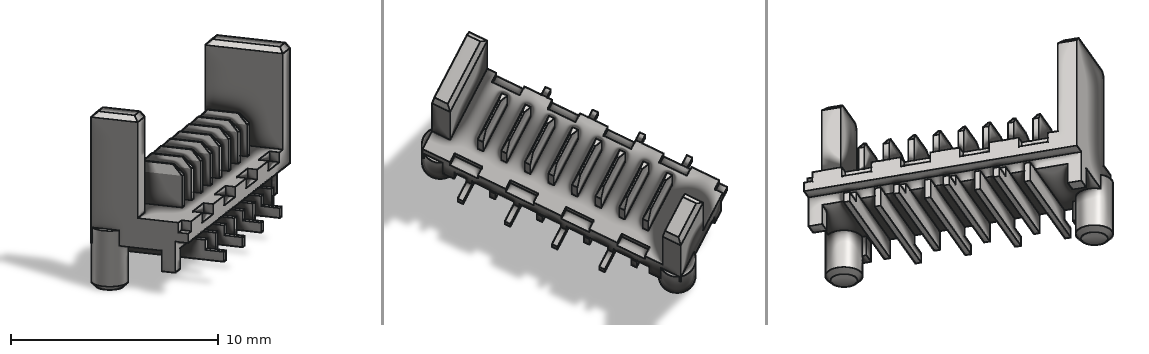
import cadquery as cq


base_width = 5.0
base_length = 13.9
base_bottom = 1.05
base_thickness = 1.5
base_top = base_bottom + base_thickness
half_width = base_width / 2
half_length = base_length / 2

undercut_x = 1.83
undercut_top = 1.58

notch_depth = 0.5
notch_length = 1.5
notch_pitch = 3.0
first_notch_y = 4.73
paired_notch_count = 4

wall_thickness = 0.975
wall_top = 7.63
wall_chamfer = 0.25
front_wall_width = 2.4
back_wall_width = 4.0

peg_diameter = 1.8
peg_x = -1.75
peg_y = 6.375
peg_bottom = -1.22
peg_top = 1.83
peg_chamfer = 0.25

standoff_size = 0.7
inner_standoff_y = 5.25

pin_count = 8
pin_pitch = 1.27
pin_thickness = 0.3
blade_half_width = 1.3
blade_top = 4.65
tip_height = 0.5
tip_run = 0.5
tip_thickness = 0.1
lead_reach = 3.45
lead_height = 0.5
lead_bottom = 0.05
foot_lead_side = 2.5
foot_plain_side = 2.55


def box(x_range, y_range, z_range):
    """Axis-aligned block between the given limits."""
    size = [limits[1] - limits[0] for limits in (x_range, y_range, z_range)]
    corner = (x_range[0], y_range[0], z_range[0])
    return cq.Workplane("XY").box(*size, centered=False).translate(corner)


def make_base():
    base = box((-half_width, half_width), (-half_length, half_length), (base_bottom, base_top))
    undercut = box((undercut_x, half_width), (-half_length, half_length), (base_bottom, undercut_top))
    return base.cut(undercut)


def make_notch(side, y_center):
    """Edge notch cutter; side is -1 for the -X edge and +1 for the +X edge."""
    notch = cq.Workplane("XY").box(2 * notch_depth, notch_length, 2 * notch_depth)
    return notch.translate((side * half_width, y_center, base_top))


def cut_notches(body):
    for index in range(paired_notch_count):
        y_center = first_notch_y - index * notch_pitch
        for side in (-1, 1):
            body = body.cut(make_notch(side, y_center))
    return body.cut(make_notch(1, first_notch_y - paired_notch_count * notch_pitch))


def make_wall(x_range, y_range):
    """Upright end wall, chamfered on top along every edge except the +Y one."""
    wall = box(x_range, y_range, (base_top, wall_top))
    return wall.faces(">Z").edges("<X or >X or <Y").chamfer(wall_chamfer)


def make_peg(y_center):
    peg = cq.Workplane("XY").circle(peg_diameter / 2).extrude(peg_top - peg_bottom)
    peg = peg.faces("<Z").chamfer(peg_chamfer)
    return peg.translate((peg_x, y_center, peg_bottom))


def make_standoffs(end):
    """Two standoffs at one end; end is -1 for -Y and +1 for +Y."""
    height = (0, base_bottom)
    inner_y = sorted((end * inner_standoff_y, end * (inner_standoff_y + standoff_size)))
    outer_y = sorted((end * (half_length - standoff_size), end * half_length))
    inner = box((-half_width, -half_width + standoff_size), inner_y, height)
    outer = box((undercut_x - standoff_size, undercut_x), outer_y, height)
    return inner.union(outer)


def make_blade():
    """Upper contact blade with a tip tapered from both ends and both faces."""
    shoulder = blade_top - tip_height
    side_outline = (
        cq.Workplane("XZ")
        .moveTo(-blade_half_width, base_bottom)
        .lineTo(-blade_half_width, shoulder)
        .lineTo(-blade_half_width + tip_run, blade_top)
        .lineTo(blade_half_width - tip_run, blade_top)
        .lineTo(blade_half_width, shoulder)
        .lineTo(blade_half_width, base_bottom)
        .close()
        .extrude(pin_thickness / 2, both=True)
    )
    end_outline = (
        cq.Workplane("YZ")
        .moveTo(-pin_thickness / 2, base_bottom)
        .lineTo(-pin_thickness / 2, shoulder)
        .lineTo(-tip_thickness / 2, blade_top)
        .lineTo(tip_thickness / 2, blade_top)
        .lineTo(pin_thickness / 2, shoulder)
        .lineTo(pin_thickness / 2, base_bottom)
        .close()
        .extrude(blade_half_width, both=True)
    )
    return side_outline.intersect(end_outline)


def make_pin(lead_side):
    """Contact pin centred on Y = 0; lead_side is -1 or +1 along X."""
    y_range = (-pin_thickness / 2, pin_thickness / 2)
    foot_x = sorted((lead_side * foot_lead_side, -lead_side * foot_plain_side))
    lead_x = sorted((0, lead_side * lead_reach))
    foot = box(foot_x, y_range, (lead_bottom, base_bottom))
    lead = box(lead_x, y_range, (lead_bottom, lead_bottom + lead_height))
    return make_blade().union(foot).union(lead)


def add_pins(body):
    """Row of pins whose leads alternate sides, starting toward -X at the +Y end."""
    first_pin_y = pin_pitch * (pin_count - 1) / 2
    for index in range(pin_count):
        lead_side = -1 if index % 2 == 0 else 1
        pin = make_pin(lead_side).translate((0, first_pin_y - index * pin_pitch, 0))
        body = body.union(pin)
    return body


front_wall = make_wall(
    (-half_width, -half_width + front_wall_width), (-half_length, -half_length + wall_thickness)
)
back_wall = make_wall(
    (half_width - back_wall_width, half_width), (half_length - wall_thickness, half_length)
)

result = cut_notches(make_base()).union(back_wall).union(front_wall)
for end in (-1, 1):
    result = result.union(make_peg(end * peg_y)).union(make_standoffs(end))
result = add_pins(result)